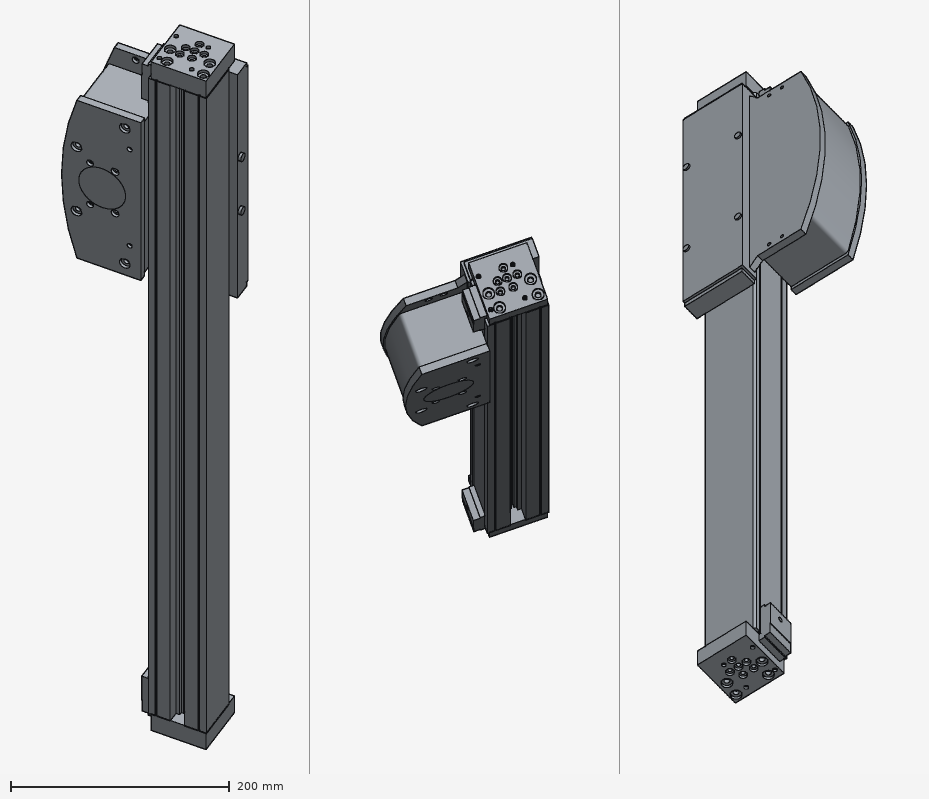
import cadquery as cq
import math


TOTAL_LENGTH = 830.0
CAP_THICKNESS = 21.0
RAIL_LENGTH = TOTAL_LENGTH - 2 * CAP_THICKNESS
RAIL_CENTRE_X = 36.5
RAIL_WIDTH = 60.0
RAIL_LEFT = RAIL_CENTRE_X - RAIL_WIDTH / 2
RAIL_RIGHT = RAIL_CENTRE_X + RAIL_WIDTH / 2
RAIL_FRONT = -29.0
RAIL_BACK = 18.0
CAP_WIDTH = 56.5
CAP_LEFT = 9.0
CAP_RIGHT = CAP_LEFT + CAP_WIDTH
CAP_FRONT = -CAP_WIDTH / 2
CAP_BACK = CAP_WIDTH / 2

SLOT_STEPS = [(15.0, 12.0), (7.5, 15.0), (2.5, 18.0)]
EDGE_GROOVE_SPACING = 44.0
EDGE_GROOVE_WIDTH = 2.0
EDGE_GROOVE_DEPTH = 2.0
BACK_CORNER_CHAMFER = 2.5

CHANNEL_FRONT = -21.5
CHANNEL_BACK = 9.0
CHANNEL_DEPTH = 1.0
SIDE_GROOVE_WIDTH = 2.5
SIDE_GROOVE_DEPTH = 2.0

SHANK_RATIO = 0.5
SEAT_DEPTH = 3.0

CAP_HOLE_DEPTH = 8.0
CAP_HOLES = {
    11.0: [(17.0, -5.0), (57.0, -5.0), (21.5, -21.0), (59.0, -21.0)],
    8.0: [(28.0, 3.0), (37.0, 3.0), (47.0, 3.0), (37.0, 13.0), (27.0, -7.0), (40.0, -7.0)],
    4.0: [(13.0, 13.0), (46.5, 13.0), (13.0, -20.0), (46.5, -20.0)],
}

DRIVE_Z = 665.0
CARRIAGE_LEFT = 5.0
CARRIAGE_RIGHT = 74.0
CARRIAGE_WIDTH = CARRIAGE_RIGHT - CARRIAGE_LEFT
CARRIAGE_CENTRE_X = CARRIAGE_LEFT + CARRIAGE_WIDTH / 2
CARRIAGE_BACK = 39.0
CARRIAGE_LENGTH = 267.0
END_PLATE_THICKNESS = 5.0
END_PLATE_INSET = 2.5
BUSH_DIAMETER = 7.0
BUSH_HEIGHT = 2.0
BUSH_SPACING_X = 60.0
BUSH_SPACING_Z = 119.5
NIPPLE_DIAMETER = 8.0
NIPPLE_LENGTH = 2.9
NIPPLE_Y = 23.0
NIPPLE_SPACING_Z = 66.0

OVERALL_WIDTH = 153.5
BOW_LEFT = CARRIAGE_RIGHT + NIPPLE_LENGTH - OVERALL_WIDTH
BOW_RADIUS = 311.0
BOW_CENTRE_X = BOW_LEFT + BOW_RADIUS
PLATE_THICKNESS = 7.5
BACK_PLATE_BACK = 28.0
BACK_PLATE_FRONT = BACK_PLATE_BACK - PLATE_THICKNESS
FRONT_PLATE_FRONT = -41.0
FRONT_PLATE_BACK = FRONT_PLATE_FRONT + PLATE_THICKNESS
BACK_PLATE_HALF = 116.0
FRONT_PLATE_HALF = 98.0
COVER_HALF = 94.0
COVER_INSET = 2.0
COVER_FILLET = 4.0
LUG_LEFT = -4.0
LUG_HALF = 126.0

FLANGE_HOLE_DIAMETER = 7.0
FLANGE_HOLES_X = (-32.0, -17.5)
FLANGE_HOLE_Z = 109.5

FRONT_HOLES = [
    (11.0, -61.5, 40.0),
    (11.0, -12.0, 84.0),
    (5.0, -7.0, 60.0),
    (7.0, -47.0, 26.0),
    (8.0, -21.5, 26.0),
]
BOSS_DIAMETER = 48.0
BOSS_X = -35.0

CLAMP_OUTER_Z = 11.0
CLAMP_LENGTH = 48.0
CLAMP_LEFT = -4.0
CLAMP_BASE_LEFT = 2.5
CLAMP_END_INSET = 2.5
CLAMP_STEP_LENGTH = 16.0
CLAMP_STEP_DEPTH = 0.4
CLAMP_SCREW_DIAMETER = 5.0
CLAMP_SCREW_Z = 36.0
CLAMP_SCREW_DEPTH = 3.0
CLAMP_SCREW_Y = -6.0


def box(x0, x1, y0, y1, z0, z1):
    """Box between two opposite corners."""
    return cq.Workplane("XY").box(x1 - x0, y1 - y0, z1 - z0, centered=False).translate((x0, y0, z0))


def rod(diameter, start, direction, length):
    """Cylinder from a start point along a direction."""
    return cq.Workplane(cq.Solid.makeCylinder(diameter / 2, length, cq.Vector(*start), cq.Vector(*direction)))


def screw_hole(diameter, start, direction, depth):
    """Cutter for a counterbored hole that starts at the seat side."""
    head = rod(diameter, start, direction, SEAT_DEPTH)
    return head.union(rod(SHANK_RATIO * diameter, start, direction, depth))


def front_groove(centre_x, width, depth):
    """Cutter for a groove along the whole front face of the rail."""
    return box(centre_x - width / 2, centre_x + width / 2, RAIL_FRONT, RAIL_FRONT + depth, 0, TOTAL_LENGTH)


def left_groove(front, back, depth):
    """Cutter for a groove along the whole left face of the rail."""
    return box(RAIL_LEFT, RAIL_LEFT + depth, front, back, 0, TOTAL_LENGTH)


def make_rail():
    top = CAP_THICKNESS + RAIL_LENGTH
    rail = box(RAIL_LEFT, RAIL_RIGHT, RAIL_FRONT, RAIL_BACK, CAP_THICKNESS, top)
    rail = rail.edges("|Z and >Y").chamfer(BACK_CORNER_CHAMFER)
    for width, depth in SLOT_STEPS:
        rail = rail.cut(front_groove(RAIL_CENTRE_X, width, depth))
    for side in (-1, 1):
        groove_x = RAIL_CENTRE_X + side * EDGE_GROOVE_SPACING / 2
        rail = rail.cut(front_groove(groove_x, EDGE_GROOVE_WIDTH, EDGE_GROOVE_DEPTH))
    rail = rail.cut(left_groove(CHANNEL_FRONT, CHANNEL_BACK, CHANNEL_DEPTH))
    return rail.cut(left_groove(CHANNEL_BACK, CHANNEL_BACK + SIDE_GROOVE_WIDTH, SIDE_GROOVE_DEPTH))


def make_cap(outer_z, inward):
    """End cap with its outer face at outer_z; inward is +1 or -1 along Z."""
    inner_z = outer_z + inward * CAP_THICKNESS
    cap = box(CAP_LEFT, CAP_RIGHT, CAP_FRONT, CAP_BACK, min(outer_z, inner_z), max(outer_z, inner_z))
    for diameter, places in CAP_HOLES.items():
        for x, y in places:
            cap = cap.cut(screw_hole(diameter, (x, y, outer_z), (0, 0, inward), CAP_HOLE_DEPTH))
    return cap


def make_carriage():
    half = CARRIAGE_LENGTH / 2
    carriage = box(CARRIAGE_LEFT, CARRIAGE_RIGHT, RAIL_BACK, CARRIAGE_BACK, DRIVE_Z - half, DRIVE_Z + half)
    full_half = half + END_PLATE_THICKNESS
    carriage = carriage.union(
        box(
            CARRIAGE_LEFT + END_PLATE_INSET,
            CARRIAGE_RIGHT,
            RAIL_BACK,
            CARRIAGE_BACK - END_PLATE_INSET,
            DRIVE_Z - full_half,
            DRIVE_Z + full_half,
        )
    )
    for side_z in (-1, 1):
        bush_z = DRIVE_Z + side_z * BUSH_SPACING_Z / 2
        for side_x in (-1, 1):
            bush_x = CARRIAGE_CENTRE_X + side_x * BUSH_SPACING_X / 2
            carriage = carriage.union(rod(BUSH_DIAMETER, (bush_x, CARRIAGE_BACK, bush_z), (0, 1, 0), BUSH_HEIGHT))
        nipple_z = DRIVE_Z + side_z * NIPPLE_SPACING_Z / 2
        nipple_start = (CARRIAGE_RIGHT, NIPPLE_Y, nipple_z)
        carriage = carriage.union(rod(NIPPLE_DIAMETER, nipple_start, (1, 0, 0), NIPPLE_LENGTH))
    return carriage


def bowed_plate(half_height, inset, front, back):
    """Plate with a bowed left edge, a straight right edge and flat ends, between two Y levels."""
    radius = BOW_RADIUS - inset
    end_x = BOW_CENTRE_X - math.sqrt(radius**2 - half_height**2)
    return (
        cq.Workplane("XZ", origin=(0, back, DRIVE_Z))
        .moveTo(CARRIAGE_LEFT, -half_height)
        .lineTo(end_x, -half_height)
        .threePointArc((BOW_LEFT + inset, 0), (end_x, half_height))
        .lineTo(CARRIAGE_LEFT, half_height)
        .close()
        .extrude(back - front)
    )


def make_back_plate():
    plate = bowed_plate(BACK_PLATE_HALF, 0, BACK_PLATE_FRONT, BACK_PLATE_BACK)
    for side in (-1, 1):
        lug = (
            cq.Workplane("XZ", origin=(0, BACK_PLATE_BACK, DRIVE_Z))
            .moveTo(LUG_LEFT, side * BACK_PLATE_HALF)
            .lineTo(CARRIAGE_LEFT, side * LUG_HALF)
            .lineTo(CARRIAGE_LEFT, side * BACK_PLATE_HALF)
            .close()
            .extrude(PLATE_THICKNESS)
        )
        plate = plate.union(lug)
        for x in FLANGE_HOLES_X:
            start = (x, BACK_PLATE_FRONT, DRIVE_Z + side * FLANGE_HOLE_Z)
            plate = plate.cut(screw_hole(FLANGE_HOLE_DIAMETER, start, (0, 1, 0), PLATE_THICKNESS))
    return plate


def make_cover():
    cover = bowed_plate(COVER_HALF, COVER_INSET, FRONT_PLATE_BACK, BACK_PLATE_FRONT)
    return cover.edges("|Y and (not >X)").fillet(COVER_FILLET)


def make_boss():
    return rod(BOSS_DIAMETER, (BOSS_X, FRONT_PLATE_FRONT, DRIVE_Z), (0, 1, 0), PLATE_THICKNESS)


def make_front_plate():
    plate = bowed_plate(FRONT_PLATE_HALF, 0, FRONT_PLATE_FRONT, FRONT_PLATE_BACK)
    for diameter, x, offset in FRONT_HOLES:
        for side in (-1, 1):
            start = (x, FRONT_PLATE_FRONT, DRIVE_Z + side * offset)
            plate = plate.cut(screw_hole(diameter, start, (0, 1, 0), PLATE_THICKNESS))
    return plate.cut(make_boss())


def make_clamp():
    """Clamp at the bottom end; it sits in the rail channel and laps over the side of the cap."""
    inner_z = CLAMP_OUTER_Z + CLAMP_LENGTH
    y_range = (CHANNEL_FRONT, CHANNEL_BACK)
    clamp = box(CLAMP_BASE_LEFT, RAIL_LEFT + CHANNEL_DEPTH, *y_range, CLAMP_OUTER_Z, inner_z)
    clamp = clamp.union(box(CLAMP_BASE_LEFT, CAP_LEFT, *y_range, CLAMP_OUTER_Z, CAP_THICKNESS))
    pad_range = (CLAMP_OUTER_Z + CLAMP_END_INSET, inner_z - CLAMP_END_INSET)
    clamp = clamp.union(box(CLAMP_LEFT, CLAMP_BASE_LEFT, *y_range, *pad_range))
    step_top = CLAMP_OUTER_Z + CLAMP_STEP_LENGTH
    clamp = clamp.cut(box(CLAMP_LEFT, CLAMP_LEFT + CLAMP_STEP_DEPTH, *y_range, CLAMP_OUTER_Z, step_top))
    screw_start = (CLAMP_LEFT, CLAMP_SCREW_Y, CLAMP_OUTER_Z + CLAMP_SCREW_Z)
    return clamp.cut(rod(CLAMP_SCREW_DIAMETER, screw_start, (1, 0, 0), CLAMP_SCREW_DEPTH))


rail = make_rail()
caps = [make_cap(0, 1), make_cap(TOTAL_LENGTH, -1)]
carriage = make_carriage()
back_plate = make_back_plate()
cover = make_cover()
front_plate = make_front_plate()
boss = make_boss()
bottom_clamp = make_clamp()
clamps = [bottom_clamp, bottom_clamp.mirror("XY", (0, 0, TOTAL_LENGTH / 2))]

result = cq.Compound.makeCompound(
    [
        rail.val(),
        *[cap.val() for cap in caps],
        carriage.val(),
        back_plate.val(),
        cover.val(),
        front_plate.val(),
        boss.val(),
        *[clamp.val() for clamp in clamps],
    ]
)